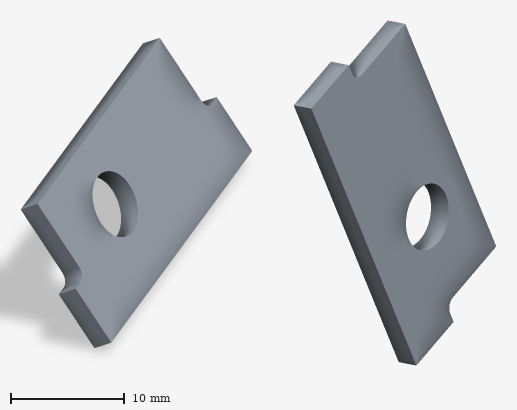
import cadquery as cq

length = 30.0
width = 14.0
thickness = 2.0
tilt_angle = 55.0

notch_depth = 2.0
notch_width = 8.0
notch_fillet = 1.0

hole_diameter = 6.0
hole_from_upper_edge = 6.2
hole_from_near_end = 10.7

upper_edge = -width / 2
end = length / 2


def make_plate():
    return cq.Workplane("XY").box(width, length, thickness)


def make_notch(side):
    """Corner cutter at the +Y (side=1) or -Y (side=-1) end, rounded at its inner corner."""
    cutter = (
        cq.Workplane("XY")
        .box(2 * notch_width, 2 * notch_depth, thickness)
        .edges("|Z")
        .edges(">X")
        .edges("<Y" if side > 0 else ">Y")
        .fillet(notch_fillet)
    )
    return cutter.translate((upper_edge, side * end, 0))


def make_hole():
    return (
        cq.Workplane("XY", origin=(0, 0, -thickness / 2))
        .center(upper_edge + hole_from_upper_edge, -end + hole_from_near_end)
        .circle(hole_diameter / 2)
        .extrude(thickness)
    )


plate = make_plate()
for side in (-1, 1):
    plate = plate.cut(make_notch(side))
plate = plate.cut(make_hole())

result = plate.rotate((0, 0, 0), (0, 1, 0), tilt_angle)